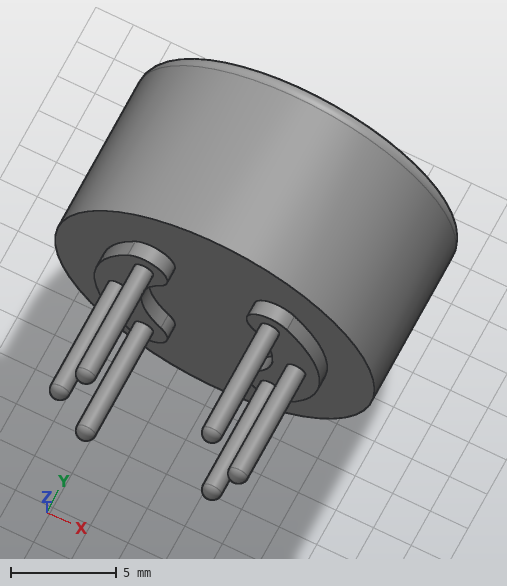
import cadquery as cq
import math

body_diameter = 17.01
body_length = 9.2
rim_radius = 0.75
pad_thickness = 0.8
pad_width = 2.5
pin_circle_radius = 4.75
pin_diameter = 1.0
pin_length = 6.5
pin_spread = 45.0

pad_end_radius = pad_width / 2
pin_radius = pin_diameter / 2
side_directions = (0.0, 180.0)


def polar(radius, angle):
    """X, Z point at a radius and an angle in degrees around the body axis."""
    a = math.radians(angle)
    return (radius * math.cos(a), radius * math.sin(a))


def make_body():
    """Round can along +Y with its pin face at Y = 0 and a rounded far rim."""
    can = cq.Workplane("XZ").circle(body_diameter / 2).extrude(-body_length)
    return can.faces(">Y").edges().fillet(rim_radius)


def make_pad(direction):
    """Curved, round-ended pad that follows the pin circle."""
    outer = pin_circle_radius + pad_end_radius
    inner = pin_circle_radius - pad_end_radius
    first = direction - pin_spread
    last = direction + pin_spread
    first_end = polar(pin_circle_radius, first)
    last_end = polar(pin_circle_radius, last)
    first_bulge = polar(pad_end_radius, first - 90)
    last_bulge = polar(pad_end_radius, last + 90)
    first_tip = (first_end[0] + first_bulge[0], first_end[1] + first_bulge[1])
    last_tip = (last_end[0] + last_bulge[0], last_end[1] + last_bulge[1])
    return (
        cq.Workplane("XZ")
        .moveTo(*polar(outer, first))
        .threePointArc(polar(outer, direction), polar(outer, last))
        .threePointArc(last_tip, polar(inner, last))
        .threePointArc(polar(inner, direction), polar(inner, first))
        .threePointArc(first_tip, polar(outer, first))
        .close()
        .extrude(pad_thickness)
    )


def make_pin(angle):
    """Pin along -Y with a hemispherical tip, rooted in the pin face of the body."""
    x, z = polar(pin_circle_radius, angle)
    shank_end = pad_thickness + pin_length - pin_radius
    shank = cq.Workplane("XZ").center(x, z).circle(pin_radius).extrude(shank_end)
    tip = cq.Workplane("XY").sphere(pin_radius).translate((x, -shank_end, z))
    return shank.union(tip)


result = make_body()
for direction in side_directions:
    result = result.union(make_pad(direction))
    for offset in (-pin_spread, 0.0, pin_spread):
        result = result.union(make_pin(direction + offset))